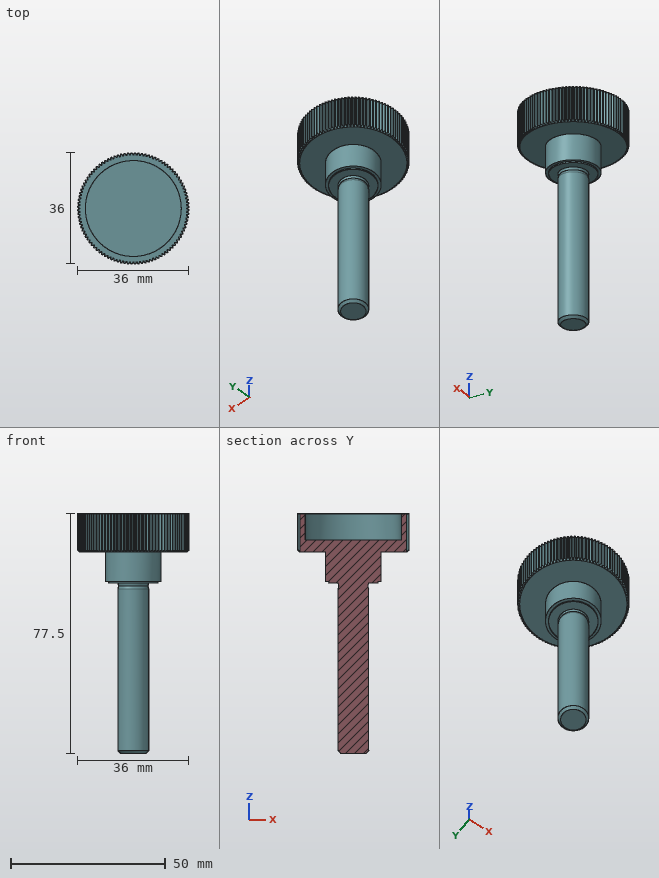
import cadquery as cq
import math

head_radius = 18.0
head_height = 12.5
head_chamfer = 0.7
recess_radius = 15.5
recess_depth = 8.5

groove_count = 100
groove_depth = 0.7
groove_half_angle = 1.35

collar_radius = 9.0
collar_height = 10.0
seat_radius = 8.0
seat_height = 0.5

shank_radius = 5.0
shank_length = 55.0
shank_chamfer = 0.9
relief_radius = 4.75
relief_width = 1.8

head_bottom = collar_height
head_top = head_bottom + head_height


def turned_body():
    """Head, collar, seat and shank revolved about Z, without recess or knurl."""
    profile = [
        (0, -shank_length),
        (shank_radius - shank_chamfer, -shank_length),
        (shank_radius, -shank_length + shank_chamfer),
        (shank_radius, -relief_width),
        (relief_radius, -relief_width / 2),
        (shank_radius, 0),
        (seat_radius, 0),
        (seat_radius, seat_height),
        (collar_radius, seat_height),
        (collar_radius, head_bottom),
        (head_radius - head_chamfer, head_bottom),
        (head_radius, head_bottom + head_chamfer),
        (head_radius, head_top),
        (0, head_top),
    ]
    return cq.Workplane("XZ").polyline(profile).close().revolve(360, (0, 0, 0), (0, 1, 0))


def recess():
    """Round flat-bottomed pocket in the top of the head."""
    return (
        cq.Workplane("XY")
        .workplane(offset=head_top - recess_depth)
        .circle(recess_radius)
        .extrude(recess_depth)
    )


def polar_point(radius, degrees):
    """XY point at the given radius and angle from +X."""
    angle = math.radians(degrees)
    return (radius * math.cos(angle), radius * math.sin(angle))


def knurled_envelope():
    """Prism with the toothed outline of the knurl: round lands between V grooves."""
    pitch = 360 / groove_count
    outline = cq.Workplane("XY").workplane(offset=head_bottom)
    outline = outline.moveTo(*polar_point(head_radius, -groove_half_angle))
    for index in range(groove_count):
        groove_angle = index * pitch
        land_middle = groove_angle + pitch / 2
        next_groove_start = groove_angle + pitch - groove_half_angle
        outline = outline.lineTo(*polar_point(head_radius - groove_depth, groove_angle))
        outline = outline.lineTo(*polar_point(head_radius, groove_angle + groove_half_angle))
        outline = outline.threePointArc(
            polar_point(head_radius, land_middle),
            polar_point(head_radius, next_groove_start),
        )
    return outline.close().extrude(head_height)


def below_head():
    """Cylinder around everything under the head, which the knurl leaves untouched."""
    return (
        cq.Workplane("XY")
        .workplane(offset=-shank_length)
        .circle(collar_radius)
        .extrude(shank_length + head_bottom)
    )


keep_region = knurled_envelope().union(below_head())
result = turned_body().intersect(keep_region).cut(recess())